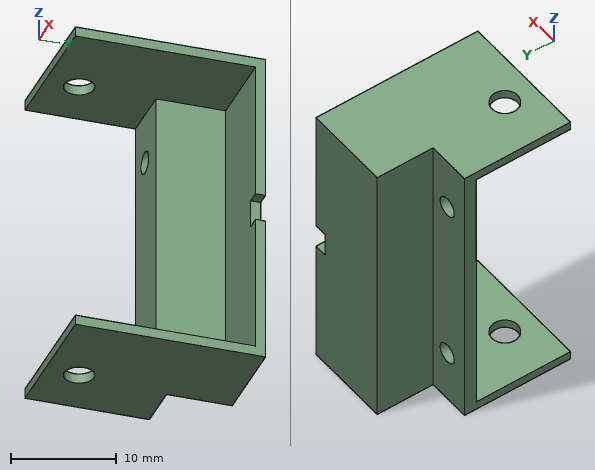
import cadquery as cq

width = 14.75
depth = 19.0
height = 32.5

plate = 1.0
flange_thickness = 1.4

step_x = 5.0
step_y = 6.55
flange_back = depth - step_y
flange_front = flange_back - flange_thickness
flange_end = step_x + plate

screw_diameter = 2.25
screw_x = 2.75
screw_end_distance = 6.2
pivot_diameter = 3.0
pivot_x = 5.8
pivot_y = 3.45
notch_depth = 1.43
notch_height = 2.8


def box(x0, x1, y0, y1, z0, z1):
    """Box between the given limits."""
    return cq.Workplane("XY").box(x1 - x0, y1 - y0, z1 - z0, centered=False).translate((x0, y0, z0))


def end_plate(z):
    """Stepped end plate with its pivot hole, bottom face at z."""
    outline = [
        (0, 0),
        (width, 0),
        (width, depth),
        (step_x, depth),
        (step_x, flange_back),
        (0, flange_back),
    ]
    body = cq.Workplane("XY").polyline(outline).close().extrude(plate)
    hole = cq.Workplane("XY").center(pivot_x, pivot_y).circle(pivot_diameter / 2).extrude(plate)
    return body.cut(hole).translate((0, 0, z))


flange = box(0, flange_end, flange_front, flange_back, 0, height)
side_wall = box(step_x, flange_end, flange_front, depth, 0, height)
back_wall = box(step_x, width, depth - plate, depth, 0, height)
upright = flange.union(side_wall).union(back_wall)

for z in (screw_end_distance, height - screw_end_distance):
    screw_hole = (
        cq.Workplane("XZ", origin=(screw_x, flange_back, z))
        .circle(screw_diameter / 2)
        .extrude(flange_thickness)
    )
    upright = upright.cut(screw_hole)

notch_bottom = (height - notch_height) / 2
notch = box(width - notch_depth, width, depth - plate, depth, notch_bottom, notch_bottom + notch_height)
upright = upright.cut(notch)

result = upright.union(end_plate(0)).union(end_plate(height - plate))